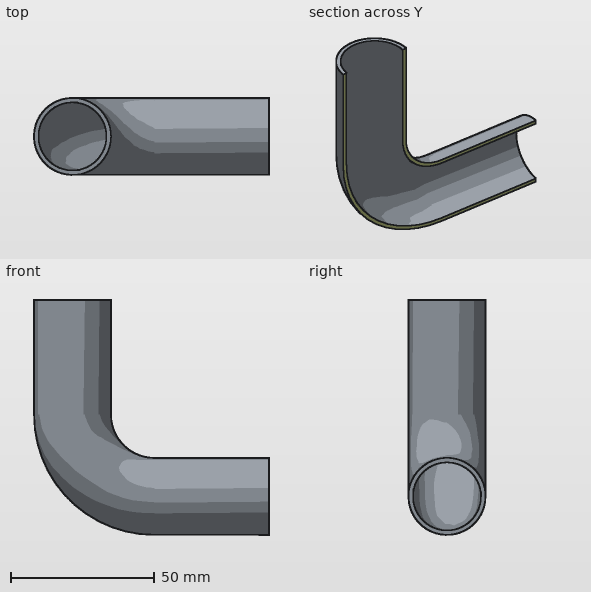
import cadquery as cq

outer_diameter = 26.9
wall_thickness = 1.6
bend_radius = 28.5
straight_length = 40.0

outer_radius = outer_diameter / 2
inner_radius = outer_radius - wall_thickness


def tube_ring(workplane):
    """Draw the annular tube section on a workplane."""
    return workplane.circle(outer_radius).circle(inner_radius)


def vertical_leg():
    """Straight tube rising along +Z from the start of the bend at the origin."""
    return tube_ring(cq.Workplane("XY")).extrude(straight_length)


def bend():
    """Quarter torus turning the tube from the Z direction to the X direction."""
    axis_start = (bend_radius, 0)
    axis_end = (bend_radius, -1)
    return tube_ring(cq.Workplane("XY")).revolve(90, axis_start, axis_end)


def horizontal_leg():
    """Straight tube running along +X from the end of the bend."""
    bend_end = (bend_radius, 0, -bend_radius)
    return tube_ring(cq.Workplane("YZ", origin=bend_end)).extrude(straight_length)


result = vertical_leg().union(bend()).union(horizontal_leg())